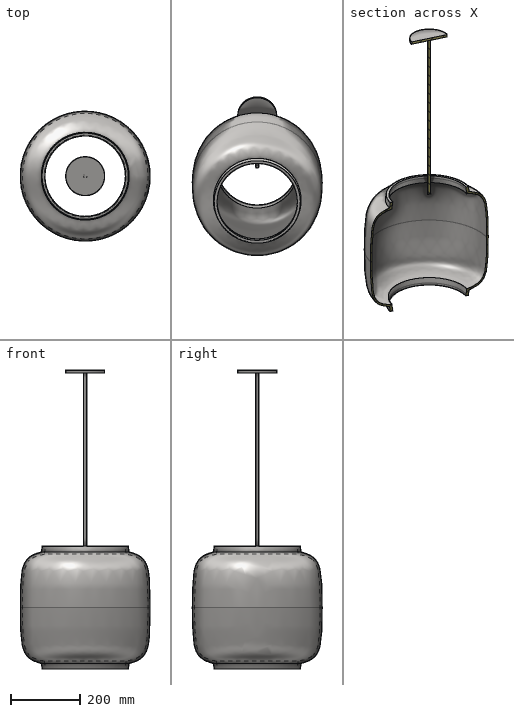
import cadquery as cq


TOTAL_HEIGHT = 864.52
SHADE_HEIGHT = 355.4
MAX_RADIUS = 188.05

CANOPY_RADIUS = 56.5
CANOPY_THICKNESS = 9.0
CORD_RADIUS = 5.0

WALL = 6.5
MIDSIDE_HEIGHT = 50.0
MIDSIDE_RADIUS = 187.1
SIDE_HEIGHT = 98.0
SIDE_RADIUS = 184.2
SHOULDER_HEIGHT = 140.5
SHOULDER_RADIUS = 167.5

NECK_HEIGHT = 16.6
NECK_FOOT_RADIUS = 127.0
RIM_RADIUS = 124.5
NECK_WALL = 8.5
RIM_BORE_DEPTH = 7.0

rim_z = SHADE_HEIGHT / 2
neck_foot_z = rim_z - NECK_HEIGHT
canopy_top_z = TOTAL_HEIGHT - rim_z
canopy_bottom_z = canopy_top_z - CANOPY_THICKNESS


def turn_half_profile(curve_points, neck_points):
    """Solid turned from a side curve, upright at first and nearly level at its end, and a straight neck."""
    upright = (0, 1)
    nearly_level = (-1, 0.2)
    return (
        cq.Workplane("XZ")
        .lineTo(*curve_points[0])
        .spline(curve_points[1:], tangents=[upright, nearly_level], includeCurrent=True)
        .polyline(neck_points, includeCurrent=True)
        .lineTo(0, rim_z)
        .close()
        .revolve(360, (0, 0, 0), (0, 1, 0))
    )


def make_half_shade():
    """Upper half of the shade: the outer form minus the hollow inside it."""
    outer = turn_half_profile(
        [
            (MAX_RADIUS, 0),
            (MIDSIDE_RADIUS, MIDSIDE_HEIGHT),
            (SIDE_RADIUS, SIDE_HEIGHT),
            (SHOULDER_RADIUS, SHOULDER_HEIGHT),
            (NECK_FOOT_RADIUS, neck_foot_z),
        ],
        [(RIM_RADIUS, rim_z)],
    )

    shoulder_shift = WALL * 0.5**0.5
    bore_radius = RIM_RADIUS - NECK_WALL
    hollow = turn_half_profile(
        [
            (MAX_RADIUS - WALL, 0),
            (MIDSIDE_RADIUS - WALL, MIDSIDE_HEIGHT),
            (SIDE_RADIUS - WALL, SIDE_HEIGHT),
            (SHOULDER_RADIUS - shoulder_shift, SHOULDER_HEIGHT - shoulder_shift),
            (NECK_FOOT_RADIUS - NECK_WALL, neck_foot_z - WALL),
        ],
        [(bore_radius, rim_z - RIM_BORE_DEPTH), (bore_radius, rim_z)],
    )
    return outer.cut(hollow)


def make_shade():
    """Both halves joined into one open-ended shade."""
    upper_half = make_half_shade()
    return upper_half.union(upper_half.mirror("XY"))


def make_disc(radius, bottom_z, top_z):
    """Upright cylinder on the lamp's axis."""
    return cq.Workplane("XY").workplane(offset=bottom_z).circle(radius).extrude(top_z - bottom_z)


canopy = make_disc(CANOPY_RADIUS, canopy_bottom_z, canopy_top_z)

cord = make_disc(CORD_RADIUS, rim_z, canopy_bottom_z)

shade = make_shade()

result = cq.Compound.makeCompound([canopy.val(), cord.val(), shade.val()])